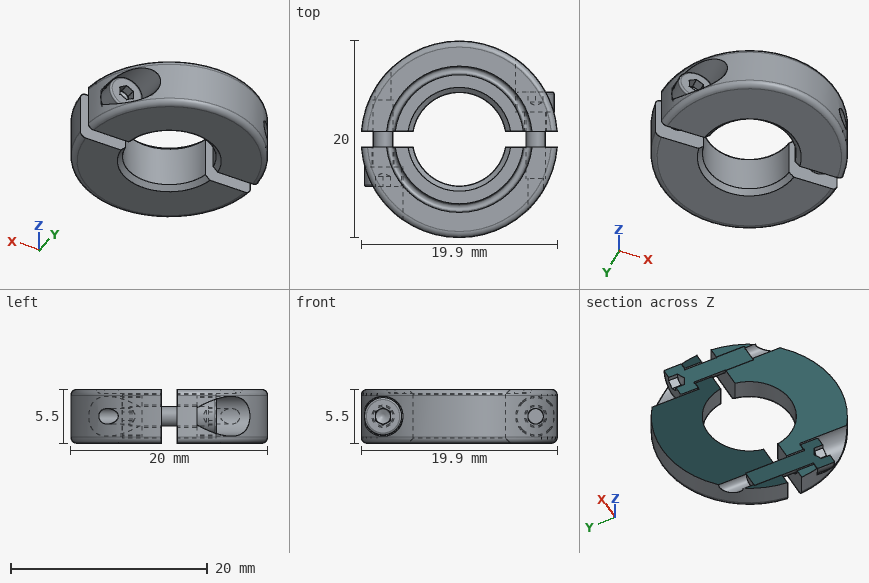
import cadquery as cq
import math

outer_diameter = 20.0
bore_diameter = 9.52
width = 5.5
split_gap = 1.6
edge_radius = 0.62
bore_chamfer = 0.52

groove_mean_radius = 7.0
groove_width = 0.88
groove_wall_depth = 0.2
groove_wall_inset = 0.1
groove_depth = 0.42

screw_offset = 7.75
shank_diameter = 2.0
head_diameter = 3.8
head_length = 2.0
head_edge_radius = 0.2
head_seat = 2.8
tip_reach = 4.0
socket_flats = 1.55
socket_depth = 1.0
socket_cone_depth = 0.4

counterbore_diameter = 4.05
clearance_diameter = 2.25
exit_diameter = 1.58

outer_radius = outer_diameter / 2
top = width / 2


def y_cylinder(diameter, y_start, y_end):
    """Cylinder on the Y axis, running from y_start to y_end."""
    axis = cq.Vector(0, 1, 0)
    start = cq.Vector(0, y_start, 0)
    return cq.Workplane(cq.Solid.makeCylinder(diameter / 2, y_end - y_start, start, axis))


def make_groove():
    """Ring cutter with tapering walls and an arc floor."""
    half_mouth = groove_width / 2
    half_floor = half_mouth - groove_wall_inset
    arc_start = top - groove_wall_depth
    return (
        cq.Workplane("XZ")
        .moveTo(groove_mean_radius - half_mouth, top)
        .lineTo(groove_mean_radius - half_floor, arc_start)
        .threePointArc(
            (groove_mean_radius, top - groove_depth),
            (groove_mean_radius + half_floor, arc_start),
        )
        .lineTo(groove_mean_radius + half_mouth, top)
        .close()
        .revolve(360, (0, 0, 0), (0, 1, 0))
    )


def make_ring():
    """Complete collar ring before it is split and drilled."""
    base = cq.Workplane("XY", origin=(0, 0, -top))
    ring = base.circle(outer_radius).circle(bore_diameter / 2).extrude(width)
    bore_edges = cq.selectors.RadiusNthSelector(0)
    outer_edges = cq.selectors.RadiusNthSelector(-1)
    ring = ring.edges("%CIRCLE").edges(bore_edges).chamfer(bore_chamfer)
    ring = ring.edges("%CIRCLE").edges(outer_edges).fillet(edge_radius)
    return ring.cut(make_groove())


def make_collar_half():
    """Half on the -Y side: head pocket at -X, threaded hole at +X."""
    front_space = cq.Workplane("XY").box(
        outer_diameter, outer_radius, width, centered=(True, False, True)
    ).translate((0, -split_gap / 2 - outer_radius, 0))
    head_pocket = y_cylinder(counterbore_diameter, -outer_radius, -head_seat)
    clearance_hole = y_cylinder(clearance_diameter, -head_seat, 0)
    head_side = head_pocket.union(clearance_hole).translate((-screw_offset, 0, 0))

    thread_hole = y_cylinder(shank_diameter, -tip_reach, 0)
    exit_hole = y_cylinder(exit_diameter, -outer_radius, -tip_reach)
    thread_side = thread_hole.union(exit_hole).translate((screw_offset, 0, 0))
    return make_ring().intersect(front_space).cut(head_side).cut(thread_side)


def make_screw():
    """Socket head screw at -X, with its head towards -Y."""
    head_top = -head_seat - head_length
    head = y_cylinder(head_diameter, head_top, -head_seat).faces("<Y").edges().fillet(head_edge_radius)
    shank = y_cylinder(shank_diameter, -head_seat, tip_reach)

    socket_corners = socket_flats / math.cos(math.pi / 6)
    socket = (
        cq.Workplane("XZ", origin=(0, head_top, 0))
        .polygon(6, socket_corners)
        .extrude(-socket_depth)
        .rotate((0, 0, 0), (0, 1, 0), 30)
    )
    socket_floor = cq.Vector(0, head_top + socket_depth, 0)
    cone = cq.Solid.makeCone(socket_flats / 2, 0, socket_cone_depth, socket_floor, cq.Vector(0, 1, 0))
    screw = head.union(shank).cut(socket).cut(cq.Workplane(cone))
    return screw.translate((-screw_offset, 0, 0))


bodies = []
for turn in (0, 180):
    for body in (make_collar_half(), make_screw()):
        bodies.append(body.rotate((0, 0, 0), (0, 0, 1), turn).val())

result = cq.Compound.makeCompound(bodies)